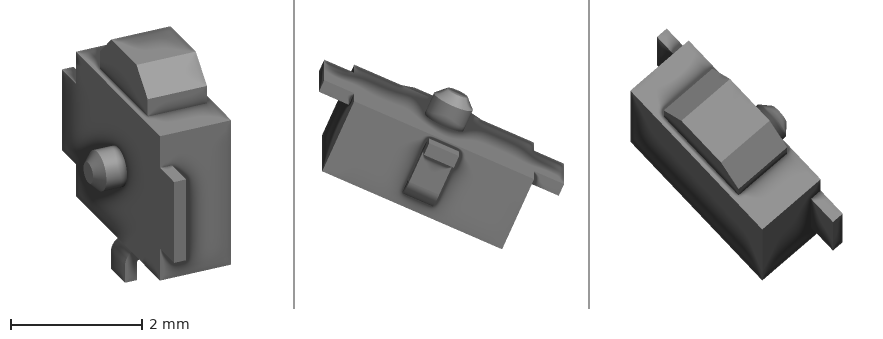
import cadquery as cq

body_width = 3.0
body_depth = 1.2
body_height = 2.5

wing_span = 4.0
wing_height = 1.4
sheet_thickness = 0.2

button_width = 1.7
button_depth = 1.0
button_height = 0.7
button_chamfer = 0.4

pin_diameter = 0.65
pin_length = 0.5
pin_chamfer = 0.15

leg_width = 0.5
leg_drop = 0.65
leg_reach = 1.0
leg_shelf_drop = 0.3
inner_bend_radius = 0.05
outer_bend_radius = inner_bend_radius + sheet_thickness

body_top = body_height / 2
body_bottom = -body_height / 2


def front_plate(width, depth, height):
    """Block centred in X and Z that extends back from the front face."""
    return cq.Workplane("XY").box(width, depth, height).translate((0, depth / 2, 0))


def make_button():
    block = cq.Workplane("XY").box(button_width, button_depth, button_height)
    block = block.faces(">Z").edges("|Y").chamfer(button_chamfer)
    return block.translate((0, body_depth / 2, body_top + button_height / 2))


def make_pin():
    pin = cq.Workplane("XZ").circle(pin_diameter / 2).extrude(pin_length)
    return pin.faces("<Y").chamfer(pin_chamfer)


def make_leg():
    shelf_bottom = body_bottom - leg_shelf_drop
    shelf_top = shelf_bottom + sheet_thickness
    stub_front = leg_reach - sheet_thickness
    foot_bottom = body_bottom - leg_drop

    leg = (
        cq.Workplane("YZ")
        .moveTo(leg_reach, body_bottom)
        .lineTo(leg_reach, shelf_bottom + outer_bend_radius)
        .radiusArc((leg_reach - outer_bend_radius, shelf_bottom), outer_bend_radius)
        .lineTo(sheet_thickness + inner_bend_radius, shelf_bottom)
        .radiusArc((sheet_thickness, shelf_bottom - inner_bend_radius), -inner_bend_radius)
        .lineTo(sheet_thickness, foot_bottom)
        .lineTo(0, foot_bottom)
        .lineTo(0, shelf_top - outer_bend_radius)
        .radiusArc((outer_bend_radius, shelf_top), outer_bend_radius)
        .lineTo(stub_front - inner_bend_radius, shelf_top)
        .radiusArc((stub_front, shelf_top + inner_bend_radius), -inner_bend_radius)
        .lineTo(stub_front, body_bottom)
        .close()
        .extrude(leg_width / 2, both=True)
    )
    return leg


body = front_plate(body_width, body_depth, body_height)
wings = front_plate(wing_span, sheet_thickness, wing_height)
result = body.union(wings).union(make_button()).union(make_pin()).union(make_leg())